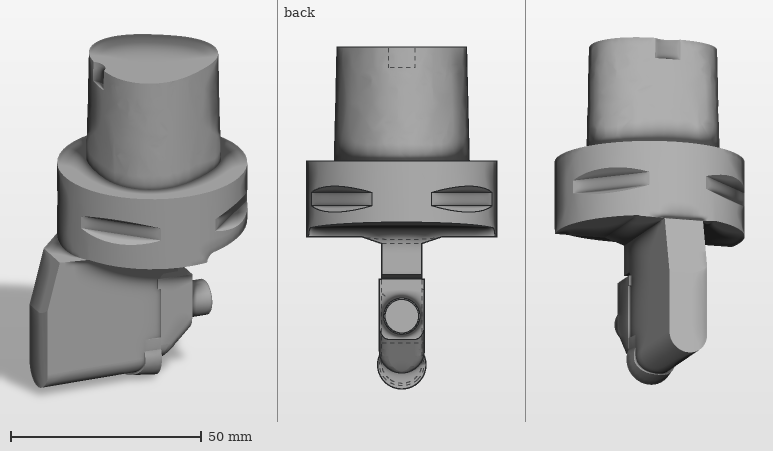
import cadquery as cq
import math


shank_height = 30.0
lobe_mean_radius = 17.415
lobe_amplitude = 1.215
lobe_count = 3
shank_taper = 0.7
outline_points = 36
notch_diameter = 9.4
notch_depth = 5.5
notch_center_y = -18.5

flange_diameter = 50.0
flange_radius = flange_diameter / 2
flange_height = 20.0
relief_edge_depth = 16.1
relief_inner_depth = 17.55
relief_inner_y = 7.9

groove_count = 4
groove_z = -10.1
groove_floor_radius = 22.3
groove_floor_height = 3.4
groove_mouth_height = 6.8

blade_width = 10.6
blade_radius = blade_width / 2
blade_back_y = 5.1
blade_front_y = -32.85
blade_top_z = -21.8
blade_shoulder_y = -28.8
blade_slope_end_z = -37.1
blade_bottom_z = -58.5
blade_step_z = -29.9
step_corner = 0.9
front_face_radius = 23.8

flare_half_width = 10.6
flare_slope_start_y = -22.1

clamp_width = 11.9
clamp_radius = clamp_width / 2
clamp_top_z = -31.1
clamp_bottom_z = -55.8
clamp_depth = 8.9
clamp_lip_depth = 0.9
clamp_lip_height = 2.7
clamp_slope_top_z = -47.0
clamp_edge_fillet = 2.6
screw_diameter = 9.5
screw_height = 6.4
screw_z = -40.9
screw_chamfer = 0.4

insert_top_z = -47.9
insert_length = 23.2
tip_radius = 6.4
tip_bottom_z = shank_height - 90
tip_center_z = tip_bottom_z + tip_radius
head_half_width = 5.85
clearance_angle = 7
head_length = 4.5
tip_length = 7.8
tip_heel_z = -59.0
head_curve_start_z = -54.45
head_curve_mid = (-5.6, -57.4)


def shank_outline(inset):
    """Points of the three-lobed shank section, moved inward by inset."""
    points = []
    for i in range(outline_points):
        angle = 2 * math.pi * i / outline_points
        lobe = math.cos(lobe_count * (angle - math.pi / 2))
        radius = lobe_mean_radius - inset + lobe_amplitude * lobe
        points.append((radius * math.cos(angle), radius * math.sin(angle)))
    return points


def u_profile(half_width, top_z, bottom_z, y):
    """Upright slab section with a full round bottom, on the XZ plane at the given Y."""
    center_z = bottom_z + half_width
    return (
        cq.Workplane("XZ", origin=(0, y, 0))
        .moveTo(-half_width, top_z)
        .lineTo(-half_width, center_z)
        .threePointArc((0, bottom_z), (half_width, center_z))
        .lineTo(half_width, top_z)
        .close()
    )


def side_prism(points):
    """Prism across the whole part from a polygon of (Y, Z) points."""
    return cq.Workplane("YZ").polyline(points).close().extrude(flange_radius, both=True)


def make_shank():
    shank = (
        cq.Workplane("XY")
        .spline(shank_outline(0), periodic=True)
        .close()
        .workplane(offset=shank_height)
        .spline(shank_outline(shank_taper), periodic=True)
        .close()
        .loft()
    )
    notch = (
        cq.Workplane("XY", origin=(0, notch_center_y, shank_height - notch_depth))
        .circle(notch_diameter / 2)
        .extrude(notch_depth)
    )
    return shank.cut(notch)


def make_flange():
    flange = cq.Workplane("XY").circle(flange_radius).extrude(-flange_height)
    run = relief_inner_y - blade_back_y
    rise = flange_height - relief_inner_depth
    diagonal = math.sqrt(0.5)
    relief = (
        cq.Workplane("YZ")
        .moveTo(flange_radius, -relief_edge_depth)
        .lineTo(relief_inner_y, -relief_inner_depth)
        .threePointArc(
            (relief_inner_y - run * diagonal, -flange_height + rise * diagonal),
            (blade_back_y, -flange_height),
        )
        .lineTo(flange_radius, -flange_height)
        .close()
        .extrude(flange_radius, both=True)
    )
    flange = flange.cut(relief)
    slope = (groove_mouth_height - groove_floor_height) / 2 / (flange_radius - groove_floor_radius)
    half_floor = groove_floor_height / 2
    reach = 2 * (flange_radius - groove_floor_radius)
    half_outer = half_floor + slope * reach
    groove = side_prism([
        (groove_floor_radius, groove_z - half_floor),
        (groove_floor_radius + reach, groove_z - half_outer),
        (groove_floor_radius + reach, groove_z + half_outer),
        (groove_floor_radius, groove_z + half_floor),
    ])
    spacing = 360 / groove_count
    for i in range(groove_count):
        flange = flange.cut(groove.rotate((0, 0, 0), (0, 0, 1), spacing * (i + 0.5)))
    return flange


def make_flare():
    length = blade_back_y - blade_shoulder_y
    flare = (
        cq.Workplane("XZ", origin=(0, blade_back_y, 0))
        .polyline([
            (-flare_half_width, -flange_height),
            (-blade_radius, blade_top_z),
            (blade_radius, blade_top_z),
            (flare_half_width, -flange_height),
        ])
        .close()
        .extrude(length)
    )
    below_slope = side_prism([
        (blade_back_y, -flange_height),
        (flare_slope_start_y, -flange_height),
        (blade_shoulder_y, blade_top_z),
        (blade_back_y, blade_top_z),
    ])
    under_flange = (
        cq.Workplane("XY", origin=(0, 0, blade_top_z))
        .circle(flange_radius)
        .extrude(-flange_height - blade_top_z)
    )
    return flare.intersect(below_slope.union(under_flange))


def make_blade():
    slab = u_profile(blade_radius, blade_top_z, blade_bottom_z, blade_back_y)
    slab = slab.extrude(blade_back_y - blade_front_y)
    side = side_prism([
        (blade_back_y, blade_top_z),
        (blade_shoulder_y, blade_top_z),
        (blade_front_y, blade_slope_end_z),
        (blade_front_y, blade_bottom_z),
        (0, blade_bottom_z),
        (0, blade_step_z - step_corner),
        (step_corner, blade_step_z),
        (blade_back_y, blade_step_z),
    ])
    curve_start = blade_front_y + front_face_radius
    edge_y = curve_start - math.sqrt(front_face_radius**2 - blade_radius**2)
    mid_x = blade_radius / 2
    mid_y = curve_start - math.sqrt(front_face_radius**2 - mid_x**2)
    front_relief = (
        cq.Workplane("XY", origin=(0, 0, blade_bottom_z))
        .moveTo(0, blade_front_y)
        .threePointArc((mid_x, mid_y), (blade_radius, edge_y))
        .lineTo(blade_radius, blade_front_y)
        .close()
        .extrude(blade_top_z - blade_bottom_z)
    )
    return slab.intersect(side).cut(front_relief)


def make_clamp():
    clamp = u_profile(clamp_radius, clamp_top_z, clamp_bottom_z, clamp_depth).extrude(clamp_depth)
    slope_cut = side_prism([
        (clamp_depth, clamp_slope_top_z),
        (0, clamp_slope_top_z - clamp_depth),
        (clamp_depth, clamp_slope_top_z - clamp_depth),
    ])
    clamp = clamp.cut(slope_cut)
    slope_face = cq.selectors.DirectionMinMaxSelector(cq.Vector(0, 1, -1), True)
    side_edges = cq.selectors.ParallelDirSelector(cq.Vector(0, 1, 1))
    clamp = clamp.faces(slope_face).edges(side_edges).fillet(clamp_edge_fillet)
    lip = (
        cq.Workplane("XZ")
        .center(0, clamp_top_z - clamp_lip_height / 2)
        .rect(clamp_width, clamp_lip_height)
        .extrude(clamp_lip_depth)
    )
    screw = (
        cq.Workplane("XZ", origin=(0, clamp_depth, screw_z))
        .circle(screw_diameter / 2)
        .extrude(-screw_height)
        .faces(">Y")
        .chamfer(screw_chamfer)
    )
    return clamp.union(lip).union(screw)


def make_insert():
    bar = u_profile(blade_radius, insert_top_z, blade_bottom_z, 0).extrude(insert_length)
    slab_bottom_z = tip_center_z - head_half_width
    taper_inset = tip_length * math.tan(math.radians(clearance_angle))
    head = u_profile(head_half_width, insert_top_z + taper_inset, slab_bottom_z, 0)
    head = head.extrude(tip_length, taper=clearance_angle)
    tip = (
        cq.Workplane("XZ", origin=(0, 0, tip_center_z))
        .circle(tip_radius)
        .extrude(tip_length, taper=clearance_angle)
    )
    head_side = (
        cq.Workplane("YZ")
        .moveTo(0, insert_top_z)
        .lineTo(-head_length, insert_top_z)
        .lineTo(-head_length, head_curve_start_z)
        .threePointArc(head_curve_mid, (-tip_length, tip_heel_z))
        .lineTo(-tip_length, tip_bottom_z)
        .lineTo(0, tip_bottom_z)
        .close()
        .extrude(tip_radius, both=True)
    )
    return bar.union(head.union(tip).intersect(head_side))


insert = make_insert()
holder = make_shank().union(make_flange()).union(make_flare()).union(make_blade())
holder = holder.union(make_clamp()).cut(insert)

result = cq.Compound.makeCompound([holder.val(), insert.val()])